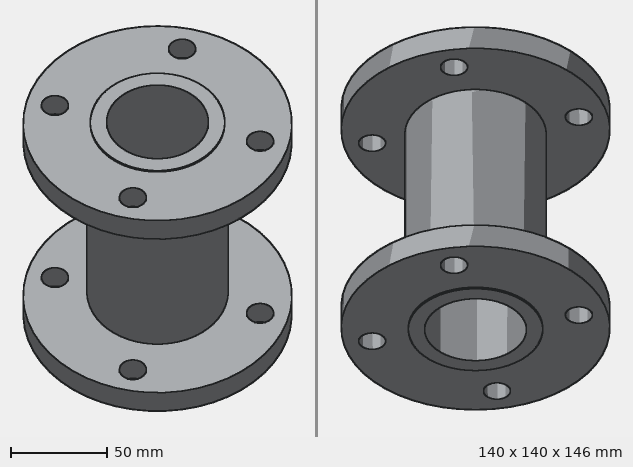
import cadquery as cq

total_height = 146.0
flange_diameter = 140.0
flange_thickness = 14.0

face_diameter = 70.1
face_height = 1.0

body_diameter = 73.7
body_edge_radius = 3.0
bore_diameter = 53.0

bolt_hole_diameter = 14.0
bolt_circle_diameter = 110.0
bolt_count = 4
first_bolt_angle = 45.0

half_height = total_height / 2
flange_outer_z = half_height - face_height
flange_inner_z = flange_outer_z - flange_thickness


def disc(diameter, bottom_z, height):
    """Solid cylinder on the Z axis."""
    return cq.Workplane("XY").workplane(offset=bottom_z).circle(diameter / 2).extrude(height)


def body():
    """Cylinder between the flanges, rounded at both ends."""
    cylinder = disc(body_diameter, -flange_inner_z, 2 * flange_inner_z)
    return cylinder.edges("%CIRCLE").fillet(body_edge_radius)


def top_flange():
    """Drilled flange with its raised face, at the upper end."""
    plate = disc(flange_diameter, flange_inner_z, flange_thickness)
    raised_face = disc(face_diameter, flange_outer_z, face_height)
    bolt_holes = (
        cq.Workplane("XY")
        .workplane(offset=flange_inner_z)
        .polarArray(bolt_circle_diameter / 2, first_bolt_angle, 360, bolt_count)
        .circle(bolt_hole_diameter / 2)
        .extrude(flange_thickness)
    )
    return plate.union(raised_face).cut(bolt_holes)


upper_flange = top_flange()
lower_flange = upper_flange.mirror("XY")
bore = disc(bore_diameter, -half_height, total_height)

result = body().union(upper_flange).union(lower_flange).cut(bore)